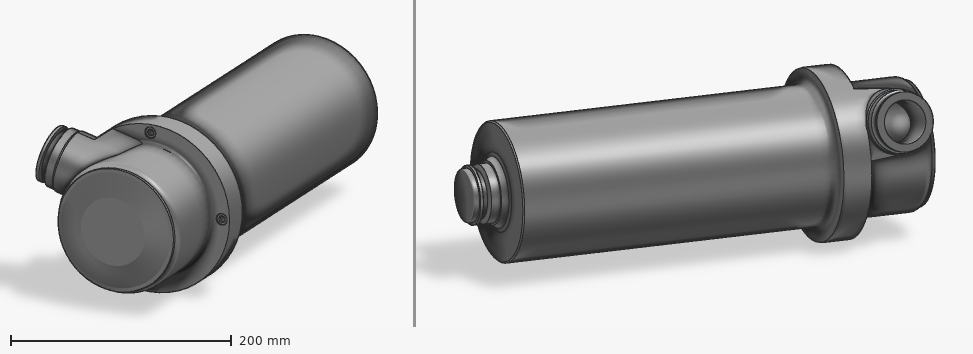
import cadquery as cq
import math

total_length = 442.0
cap_flat_radius = 32.3
cap_cone_radius = 55.0
cap_lip_radius = 58.5
head_radius = 62.0
cap_cone_end = 5.5
cap_lip_end = 8.5
cap_round_end = 15.0

flange_radius = 80.0
flange_front = 76.0
flange_back = 103.0
flange_edge_chamfer = 0.5
flange_edge_length = 2.5
head_fillet = 4.0

tube_radius = 65.0
tube_fillet = 7.5
tube_end = 410.0
tube_end_chamfer = 1.5

lip_radius = 27.5
lip_end_radius = 24.7
lip_end_rounding = 1.8
groove_diameter = 44.5
groove_radius = groove_diameter / 2
outlet_toe_radius = 36.5
outlet_foot_radius = 33.0
outlet_foot_start = 411.5
outlet_collar_radius = 29.5
outlet_foot_end = 417.0
outlet_neck_end = 426.0
outlet_groove_start = 428.0
outlet_groove_end = 432.0
outlet_lip_start = 434.0
outlet_lip_end = 436.5

inlet_tilt = 15.0
inlet_offset = 25.0
inlet_y = 45.5
inlet_reach = 95.0
inlet_pipe_radius = 30.0
inlet_neck_diameter = 58.0
inlet_neck_radius = inlet_neck_diameter / 2
inlet_pipe_bevel = 1.8
inlet_pipe_reach = 75.0
inlet_lip_length = 3.0
inlet_groove_back = 7.5
inlet_shoulder_back = 10.0
inlet_bore_diameter = 39.5
inlet_mouth_diameter = 40.0
inlet_mouth_depth = 1.8
boss_draft = 5.0

screw_count = 4
screw_circle_radius = 72.0
counterbore_diameter = 11.0
counterbore_depth = 1.0
counterbore_floor_diameter = 10.0
socket_diameter = 6.0
socket_depth = 3.5
socket_tip_depth = 1.8


def make_body():
    """Cap, head, flange, tube and outlet coupling, revolved about Y."""
    round_width = head_radius - cap_lip_radius
    round_length = cap_round_end - cap_lip_end
    cap_round_radius = (round_width**2 + round_length**2) / (2 * round_width)
    fillet_mid = 1 - math.sqrt(0.5)
    profile = (
        cq.Workplane("XY")
        .lineTo(cap_flat_radius, 0)
        .lineTo(cap_cone_radius, cap_cone_end)
        .lineTo(cap_lip_radius, cap_cone_end)
        .lineTo(cap_lip_radius, cap_lip_end)
        .radiusArc((head_radius, cap_round_end), -cap_round_radius)
        .lineTo(head_radius, flange_front - head_fillet)
        .threePointArc(
            (head_radius + head_fillet * fillet_mid, flange_front - head_fillet * fillet_mid),
            (head_radius + head_fillet, flange_front),
        )
        .lineTo(flange_radius, flange_front)
        .lineTo(flange_radius, flange_back - flange_edge_length)
        .lineTo(flange_radius - flange_edge_chamfer, flange_back)
        .lineTo(tube_radius + tube_fillet, flange_back)
        .threePointArc(
            (tube_radius + tube_fillet * fillet_mid, flange_back + tube_fillet * fillet_mid),
            (tube_radius, flange_back + tube_fillet),
        )
        .lineTo(tube_radius, tube_end - tube_end_chamfer)
        .lineTo(tube_radius - tube_end_chamfer, tube_end)
        .lineTo(outlet_toe_radius, tube_end)
        .lineTo(outlet_foot_radius, outlet_foot_start)
        .lineTo(outlet_collar_radius, outlet_foot_end)
        .lineTo(lip_radius, outlet_foot_end)
        .lineTo(lip_radius, outlet_neck_end)
        .lineTo(groove_radius, outlet_groove_start)
        .lineTo(groove_radius, outlet_groove_end)
        .lineTo(lip_radius, outlet_lip_start)
        .lineTo(lip_radius, outlet_lip_end)
        .lineTo(lip_end_radius, outlet_lip_end)
        .lineTo(lip_end_radius, total_length - lip_end_rounding)
        .radiusArc((lip_end_radius - lip_end_rounding, total_length), -lip_end_rounding)
        .lineTo(0, total_length)
        .close()
    )
    return profile.revolve(360, (0, 0), (0, 1))


def y_cylinder(radius, start, end):
    """Solid cylinder on the main axis between two places along Y."""
    return cq.Workplane("XZ", origin=(0, start, 0)).circle(radius).extrude(start - end)


tilt = math.radians(inlet_tilt)
inlet_axis = cq.Vector(-math.cos(tilt), 0, math.sin(tilt))
inlet_up = cq.Vector(math.sin(tilt), 0, math.cos(tilt))
inlet_origin = inlet_up * inlet_offset + cq.Vector(0, inlet_y, 0)
inlet_plane = cq.Plane(origin=inlet_origin, xDir=inlet_up, normal=inlet_axis)


def make_inlet():
    """Round pipe with the coupling groove and lip at its end."""
    lip_back = inlet_reach - inlet_lip_length
    profile = (
        cq.Workplane(cq.Plane(origin=inlet_origin, xDir=inlet_up, normal=inlet_up.cross(inlet_axis)))
        .lineTo(inlet_pipe_radius, 0)
        .lineTo(inlet_pipe_radius, inlet_pipe_reach)
        .lineTo(inlet_neck_radius, inlet_pipe_reach + inlet_pipe_bevel)
        .lineTo(inlet_neck_radius, inlet_reach - inlet_shoulder_back)
        .lineTo(groove_radius, inlet_reach - inlet_groove_back)
        .lineTo(groove_radius, lip_back)
        .lineTo(lip_radius, lip_back)
        .lineTo(lip_radius, inlet_reach)
        .lineTo(0, inlet_reach)
        .close()
    )
    return profile.revolve(360, (0, 0), (0, 1))


def make_boss():
    """Rounded boss around the pipe, with drafted sides running tangentially into the flange."""
    draft = math.radians(boss_draft)
    tangent_height = inlet_pipe_radius * math.cos(draft)
    tangent_y = -inlet_pipe_radius * math.sin(draft)
    boss_length = flange_front - inlet_y
    root_height = tangent_height + (boss_length - tangent_y) * math.tan(draft)
    boss = (
        cq.Workplane(inlet_plane)
        .moveTo(root_height, boss_length)
        .lineTo(tangent_height, tangent_y)
        .threePointArc((0, -inlet_pipe_radius), (-tangent_height, tangent_y))
        .lineTo(-root_height, boss_length)
        .close()
        .extrude(inlet_pipe_reach)
    )
    outside_wall = y_cylinder(2 * flange_radius, inlet_y, flange_front).cut(
        y_cylinder(flange_radius, inlet_y, flange_front)
    )
    return boss.cut(outside_wall)


def make_inlet_bore():
    """Bevelled bore that ends on the round surface of the head."""
    bore_radius = inlet_bore_diameter / 2
    mouth = (
        cq.Workplane(inlet_plane)
        .workplane(offset=inlet_reach - inlet_mouth_depth)
        .circle(bore_radius)
        .workplane(offset=inlet_mouth_depth)
        .circle(inlet_mouth_diameter / 2)
        .loft()
    )
    bore = cq.Workplane(inlet_plane).circle(bore_radius).extrude(inlet_reach).union(mouth)
    return bore.cut(y_cylinder(head_radius, 0, flange_front))


def make_screw_recess():
    """Shallow tapered counterbore with a cone-bottomed socket, on the main axis."""
    profile = (
        cq.Workplane("XY", origin=(0, flange_front, 0))
        .lineTo(counterbore_diameter / 2, 0)
        .lineTo(counterbore_floor_diameter / 2, counterbore_depth)
        .lineTo(socket_diameter / 2, counterbore_depth)
        .lineTo(socket_diameter / 2, socket_depth)
        .lineTo(0, socket_depth + socket_tip_depth)
        .close()
    )
    return profile.revolve(360, (0, 0), (0, 1))


result = make_body().union(make_inlet()).union(make_boss()).cut(make_inlet_bore())
for index in range(screw_count):
    recess = make_screw_recess().translate((screw_circle_radius, 0, 0))
    result = result.cut(recess.rotate((0, 0, 0), (0, 1, 0), index * 360 / screw_count))